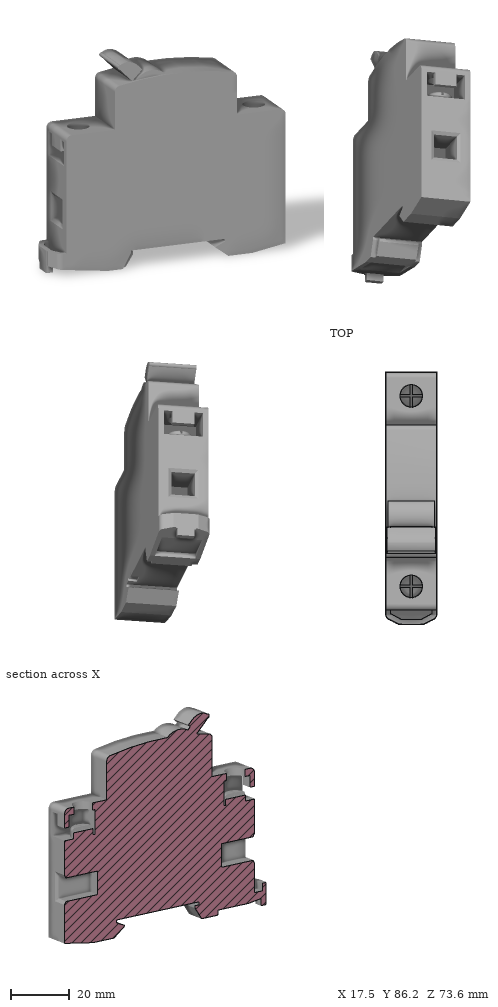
import cadquery as cq
import math

WIDTH = 17.5
HALF_WIDTH = WIDTH / 2
HALF_LENGTH = 40.6
HALF_TOWER = 22.6
SHOULDER_Z = 50.1
CROWN_Z = 67.6
TOWER_EDGE_Z = 65.3
EDGE_RADIUS = 2.0

REAR_END_Z = 2.0
REAR_SLOPE_Y = 28.3
FOOT_REAR_Y = 19.4
HOOK_TIP = (14.5, 3.7)
SEAT_REAR_Y = 18.2
SEAT_FRONT_Y = -16.7
SEAT_Z = 6.25
RAIL_LIP_Z = 5.35
FOOT_FRONT_Y = -19.6
FRONT_SLOPE_Y = -25.1
RAMP_RISE = 0.14

NOTCH_DEPTH = 3.0
NOTCH_TILT = math.radians(20.6)
NOTCH_TOP = (11.45, 8.65)
NOTCH_LENGTH = 4.15

SCREW_Y = 32.5
SCREW_HOLE_RADIUS = 3.82
SCREW_RADIUS = 4.36
SCREW_TOP_Z = 42.2
SCREW_EDGE_RADIUS = 1.15
SCREW_SLOT_WIDTH = 0.8
SCREW_SLOT_DEPTH = 1.3
WINDOW_WIDTH = 13.5
WINDOW_BOTTOM_Z = 38.75
WINDOW_TOP_Z = 47.35
WINDOW_DEPTH = 13.0
APRON_WIDTH = 7.6
APRON_BOTTOM_Z = 43.15
APRON_THICKNESS = 2.1
WIRE_Z = 21.1
WIRE_MOUTH = (10.3, 10.6)
WIRE_THROAT = (8.15, 8.25)
WIRE_FLARE_DEPTH = 0.7
WIRE_DEPTH = 14.0

CLIP_FRONT_Y = -45.6
CLIP_TOP_Z = 8.05
CLIP_WALL_SIDE = 1.75
CLIP_WALL_FRONT = 1.8
CLIP_BEND_Y = -43.2
CLIP_FLAT_HALF = 4.3
CLIP_BEND_RADIUS = 2.15
CLIP_INNER_BEND_Y = -41.85
CLIP_INNER_FLAT_HALF = 3.36
TAB_PROUD = 0.15
TAB_UPPER_HALF = 3.35
TAB_LOWER_HALF = 2.95
TAB_STEP_Z = 2.5
TAB_REAR_Y = -43.2
SLIDER_HALF = HALF_WIDTH - CLIP_WALL_SIDE
SLIDER_BOTTOM_Z = 1.8
TIP_TOP_FRONT_Y = -15.1
TIP_NOSE_HEIGHT = 1.0
TIP_FOOT_Y = -17.95

DRUM_Y = -8.5
DRUM_RADIUS = 7.5
DRUM_TOP_Z = 69.55
DRUM_HALF = 8.0
LEVER_HALF = 8.2
LEVER_ROOT = (-16.0, 66.55)
LEVER_REAR = (-12.25, 70.3)
LEVER_BACK_END = (-13.6, 71.65)
LEVER_BACK_MID = (-15.4, 72.95)
LEVER_CREST = (-17.55, 73.6)
LEVER_FRONT_MID = (-19.05, 73.38)
LEVER_NOSE_TOP = (-20.4, 72.75)
LEVER_NOSE_MID = (-21.3, 72.1)
LEVER_NOSE_END = (-20.7, 71.25)
NECK_HALF = 7.0
NECK_REAR = (-13.0, 69.55)
NECK_LENGTH = 3.0


def extrude_x(profile, x_from, x_to):
    """Extrude a closed (Y, Z) profile between two X stations."""
    return profile.extrude(x_to - x_from).translate((x_from, 0, 0))


def box(x_range, y_range, z_range):
    size = [abs(high - low) for low, high in (x_range, y_range, z_range)]
    corner = [min(span) for span in (x_range, y_range, z_range)]
    return cq.Workplane("XY").box(*size, centered=False).translate(tuple(corner))


def front_ramp_z(y):
    return RAMP_RISE * (FRONT_SLOPE_Y - y)


def arch_z(y):
    """Height of the circular crown at a given Y."""
    sag = CROWN_Z - TOWER_EDGE_Z
    radius = (HALF_TOWER ** 2 + sag ** 2) / (2 * sag)
    return CROWN_Z - radius + math.sqrt(radius ** 2 - y ** 2)


def make_housing():
    quarter_tower = HALF_TOWER / 2
    profile = (
        cq.Workplane("YZ")
        .moveTo(HALF_LENGTH, REAR_END_Z)
        .lineTo(HALF_LENGTH, SHOULDER_Z)
        .lineTo(HALF_TOWER, SHOULDER_Z)
        .lineTo(HALF_TOWER, TOWER_EDGE_Z)
        .threePointArc((quarter_tower, arch_z(quarter_tower)), (0, CROWN_Z))
        .threePointArc((-quarter_tower, arch_z(quarter_tower)), (-HALF_TOWER, TOWER_EDGE_Z))
        .lineTo(-HALF_TOWER, SHOULDER_Z)
        .lineTo(-HALF_LENGTH, SHOULDER_Z)
        .lineTo(-HALF_LENGTH, front_ramp_z(-HALF_LENGTH))
        .lineTo(FRONT_SLOPE_Y, 0)
        .lineTo(FOOT_FRONT_Y, 0)
        .lineTo(SEAT_FRONT_Y, RAIL_LIP_Z)
        .lineTo(SEAT_FRONT_Y, SEAT_Z)
        .lineTo(SEAT_REAR_Y, SEAT_Z)
        .lineTo(SEAT_REAR_Y, RAIL_LIP_Z)
        .lineTo(*HOOK_TIP)
        .lineTo(FOOT_REAR_Y, 0)
        .lineTo(REAR_SLOPE_Y, 0)
        .close()
    )
    housing = extrude_x(profile, -HALF_WIDTH, HALF_WIDTH)
    corners = [
        (side * y, z)
        for side in (-1, 1)
        for y, z in ((HALF_LENGTH, SHOULDER_Z), (HALF_TOWER, TOWER_EDGE_Z))
    ]
    for y, z in corners:
        edge = cq.selectors.NearestToPointSelector((0, y, z))
        housing = housing.edges("|X").edges(edge).fillet(EDGE_RADIUS)
    return housing


def make_notch():
    top_y, top_z = NOTCH_TOP
    rear_y = top_y + NOTCH_LENGTH * math.cos(NOTCH_TILT)
    rear_z = top_z - NOTCH_LENGTH * math.sin(NOTCH_TILT)
    lean = math.tan(NOTCH_TILT)
    profile = (
        cq.Workplane("YZ")
        .moveTo(rear_y - (rear_z - SEAT_Z) * lean, SEAT_Z)
        .lineTo(rear_y, rear_z)
        .lineTo(*NOTCH_TOP)
        .lineTo(top_y - (top_z - SEAT_Z) * lean, SEAT_Z)
        .close()
    )
    return extrude_x(profile, -HALF_WIDTH, -HALF_WIDTH + NOTCH_DEPTH)


def make_terminal_cavity():
    """Screw window, screw hole and wire entry at the -Y end."""
    inner_y = -HALF_LENGTH + WINDOW_DEPTH
    half_window = WINDOW_WIDTH / 2
    half_apron = APRON_WIDTH / 2
    y_range = (-HALF_LENGTH, inner_y)
    window = box((-half_window, half_window), y_range, (WINDOW_BOTTOM_Z, WINDOW_TOP_Z))
    apron_y = (-HALF_LENGTH, -HALF_LENGTH + APRON_THICKNESS)
    apron = box((-half_apron, half_apron), apron_y, (APRON_BOTTOM_Z, WINDOW_TOP_Z))
    hole = (
        cq.Workplane("XY", origin=(0, -SCREW_Y, WINDOW_TOP_Z))
        .circle(SCREW_HOLE_RADIUS)
        .extrude(SHOULDER_Z - WINDOW_TOP_Z)
    )
    mouth_plane = cq.Plane(origin=(0, -HALF_LENGTH, WIRE_Z), xDir=(1, 0, 0), normal=(0, 1, 0))
    flare = (
        cq.Workplane(mouth_plane)
        .rect(*WIRE_MOUTH)
        .workplane(offset=WIRE_FLARE_DEPTH)
        .rect(*WIRE_THROAT)
        .loft(ruled=True)
    )
    throat = cq.Workplane(mouth_plane).rect(*WIRE_THROAT).extrude(WIRE_DEPTH)
    return window.cut(apron).union(hole).union(flare).union(throat)


def make_screw():
    """Cross-slotted terminal screw standing on the window floor at the -Y end."""
    slot_half = SCREW_SLOT_WIDTH / 2
    slot_z = (SCREW_TOP_Z - SCREW_SLOT_DEPTH, SCREW_TOP_Z)
    span = (-SCREW_RADIUS, SCREW_RADIUS)
    thin = (-slot_half, slot_half)
    cross = box(span, thin, slot_z).union(box(thin, span, slot_z))
    screw = (
        cq.Workplane("XY", origin=(0, 0, WINDOW_BOTTOM_Z))
        .circle(SCREW_RADIUS)
        .extrude(SCREW_TOP_Z - WINDOW_BOTTOM_Z)
        .faces(">Z")
        .edges()
        .fillet(SCREW_EDGE_RADIUS)
    )
    return screw.cut(cross).translate((0, -SCREW_Y, 0))


def make_slider_channel():
    """Recess under the front foot in which the slider plate runs."""
    return box((-SLIDER_HALF, SLIDER_HALF), (CLIP_FRONT_Y, FRONT_SLOPE_Y), (0, SLIDER_BOTTOM_Z))


def make_rail_tip():
    """Sloped slider tip that grips the rail in front of the seat."""
    profile = (
        cq.Workplane("YZ")
        .moveTo(TIP_FOOT_Y, 0)
        .lineTo(TIP_TOP_FRONT_Y, RAIL_LIP_Z - TIP_NOSE_HEIGHT)
        .lineTo(TIP_TOP_FRONT_Y, RAIL_LIP_Z)
        .lineTo(FOOT_FRONT_Y, RAIL_LIP_Z)
        .lineTo(FOOT_FRONT_Y, 0)
        .close()
    )
    return extrude_x(profile, -SLIDER_HALF, SLIDER_HALF)


def make_clip():
    """U-shaped pull clip with its finger tab, below the front face."""
    flat_y = CLIP_FRONT_Y + TAB_PROUD
    inner_flat_y = CLIP_FRONT_Y + CLIP_WALL_FRONT
    outline = (
        cq.Workplane("XY")
        .moveTo(-HALF_WIDTH, -HALF_LENGTH)
        .lineTo(-HALF_WIDTH, CLIP_BEND_Y)
        .lineTo(-CLIP_FLAT_HALF, flat_y)
        .lineTo(CLIP_FLAT_HALF, flat_y)
        .lineTo(HALF_WIDTH, CLIP_BEND_Y)
        .lineTo(HALF_WIDTH, -HALF_LENGTH)
        .close()
        .extrude(CLIP_TOP_Z)
    )
    for side in (-1, 1):
        bend = cq.selectors.NearestToPointSelector((side * HALF_WIDTH, CLIP_BEND_Y, CLIP_TOP_Z / 2))
        outline = outline.edges("|Z").edges(bend).fillet(CLIP_BEND_RADIUS)
    well = (
        cq.Workplane("XY", origin=(0, 0, RAIL_LIP_Z))
        .moveTo(-SLIDER_HALF, -HALF_LENGTH)
        .lineTo(-SLIDER_HALF, CLIP_INNER_BEND_Y)
        .lineTo(-CLIP_INNER_FLAT_HALF, inner_flat_y)
        .lineTo(CLIP_INNER_FLAT_HALF, inner_flat_y)
        .lineTo(SLIDER_HALF, CLIP_INNER_BEND_Y)
        .lineTo(SLIDER_HALF, -HALF_LENGTH)
        .close()
        .extrude(CLIP_TOP_Z - RAIL_LIP_Z)
    )
    ramp = (
        cq.Workplane("YZ")
        .moveTo(FRONT_SLOPE_Y, 0)
        .lineTo(CLIP_FRONT_Y, 0)
        .lineTo(CLIP_FRONT_Y, front_ramp_z(CLIP_FRONT_Y))
        .close()
    )
    clip = outline.cut(well).cut(extrude_x(ramp, -HALF_WIDTH, HALF_WIDTH))
    tab_y = (CLIP_FRONT_Y, TAB_REAR_Y)
    upper_y = (CLIP_FRONT_Y, inner_flat_y)
    upper_tab = box((-TAB_UPPER_HALF, TAB_UPPER_HALF), upper_y, (TAB_STEP_Z, CLIP_TOP_Z))
    lower_tab = box((-TAB_LOWER_HALF, TAB_LOWER_HALF), tab_y, (0, RAIL_LIP_Z))
    return clip.union(upper_tab).union(lower_tab)


def make_toggle():
    drum = (
        cq.Workplane("YZ", origin=(-DRUM_HALF, DRUM_Y, DRUM_TOP_Z - DRUM_RADIUS))
        .circle(DRUM_RADIUS)
        .extrude(2 * DRUM_HALF)
    )
    lever_profile = (
        cq.Workplane("YZ")
        .moveTo(*LEVER_ROOT)
        .lineTo(*LEVER_REAR)
        .lineTo(*LEVER_BACK_END)
        .threePointArc(LEVER_BACK_MID, LEVER_CREST)
        .threePointArc(LEVER_FRONT_MID, LEVER_NOSE_TOP)
        .threePointArc(LEVER_NOSE_MID, LEVER_NOSE_END)
        .close()
    )
    lever = extrude_x(lever_profile, -LEVER_HALF, LEVER_HALF)
    step = NECK_LENGTH / math.sqrt(2)
    rear_y, rear_z = NECK_REAR
    neck_profile = (
        cq.Workplane("YZ")
        .moveTo(*NECK_REAR)
        .lineTo(rear_y + step, rear_z - step)
        .lineTo(LEVER_ROOT[0] + step, LEVER_ROOT[1] - step)
        .lineTo(*LEVER_ROOT)
        .close()
    )
    neck = extrude_x(neck_profile, -NECK_HALF, NECK_HALF)
    return drum.union(lever).union(neck)


def mirror_to_rear(shape):
    return shape.mirror("XZ")


def build():
    part = make_housing().cut(make_notch())
    cavity = make_terminal_cavity()
    screw = make_screw()
    for cut_shape in (cavity, mirror_to_rear(cavity)):
        part = part.cut(cut_shape)
    part = part.cut(make_slider_channel())
    for added in (screw, mirror_to_rear(screw), make_rail_tip(), make_clip(), make_toggle()):
        part = part.union(added)
    return part


result = build()